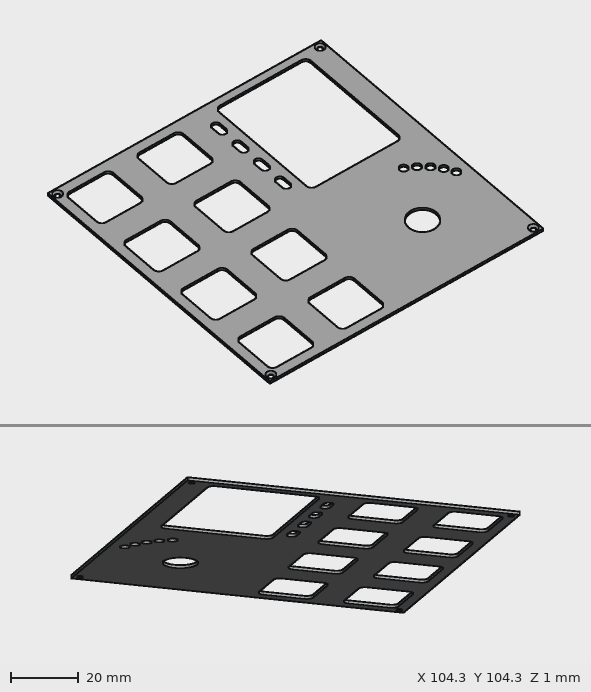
import cadquery as cq
import math

plate_side = 104.35
plate_thickness = 1.0

screw_spacing = 100.2
screw_diameter = 1.75
countersink_diameter = 3.25
countersink_angle = 90.0

key_pitch = 26.75
key_columns = 4
key_rows = 2
key_side = 17.0
key_corner_radius = 2.0

display_centre = (-key_pitch, key_pitch)
display_width = 45.0
display_height = 35.0
display_corner_radius = 2.0
knob_centre = (key_pitch, key_pitch)
knob_diameter = 10.5

slot_count = 4
slot_pitch = 10.0
slot_length = 6.0
slot_width = 3.0
slot_row_y = 4.8

light_count = 5
light_diameter = 3.0
light_arc_radius = 23.0
light_middle_angle = 135.0
light_angle_step = 10.0


def centred_steps(count, pitch):
    """Evenly spaced offsets, symmetric about zero."""
    return [(i - (count - 1) / 2) * pitch for i in range(count)]


def at_centres(points):
    """Workplane on the plate's underside with the given centres selected."""
    return cq.Workplane("XY").pushPoints(points)


def rounded_openings(points, width, height, corner_radius):
    openings = at_centres(points).rect(width, height).extrude(plate_thickness)
    return openings.edges("|Z").fillet(corner_radius)


def round_openings(points, diameter):
    return at_centres(points).circle(diameter / 2).extrude(plate_thickness)


def key_openings():
    row_centre_y = -key_pitch
    centres = [
        (x, row_centre_y + y)
        for x in centred_steps(key_columns, key_pitch)
        for y in centred_steps(key_rows, key_pitch)
    ]
    return rounded_openings(centres, key_side, key_side, key_corner_radius)


def display_window():
    return rounded_openings([display_centre], display_width, display_height, display_corner_radius)


def button_slots():
    centres = [(display_centre[0] + x, slot_row_y) for x in centred_steps(slot_count, slot_pitch)]
    return at_centres(centres).slot2D(slot_length, slot_width).extrude(plate_thickness)


def light_holes():
    centres = []
    for offset in centred_steps(light_count, light_angle_step):
        angle = math.radians(light_middle_angle + offset)
        x = knob_centre[0] + light_arc_radius * math.cos(angle)
        y = knob_centre[1] + light_arc_radius * math.sin(angle)
        centres.append((x, y))
    return round_openings(centres, light_diameter)


def add_screw_holes(body):
    return (
        body.faces(">Z")
        .workplane(origin=(0, 0, plate_thickness))
        .rect(screw_spacing, screw_spacing, forConstruction=True)
        .vertices()
        .cskHole(screw_diameter, countersink_diameter, countersink_angle)
    )


plate = cq.Workplane("XY").box(plate_side, plate_side, plate_thickness, centered=(True, True, False))
plate = add_screw_holes(plate)
plate = plate.cut(key_openings())
plate = plate.cut(display_window())
plate = plate.cut(round_openings([knob_centre], knob_diameter))
plate = plate.cut(button_slots())
plate = plate.cut(light_holes())

result = plate